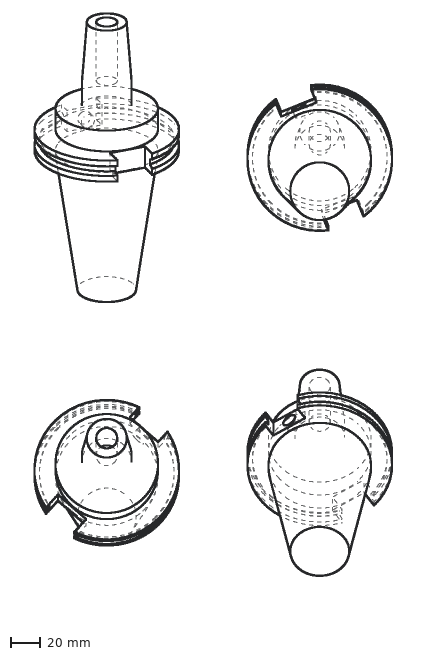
import cadquery as cq

total_height = 201.5
gauge_height = 101.6
flange_bottom = 104.8
flange_thickness = 16.0
boss_top = 136.5
nose_cone_start = 157.2

gauge_radius = 34.9
flange_radius = 49.2
shank_radius = 17.0
nose_tip_radius = 27.2 / 2
root_fillet = 3.0

taper_ratio = 7 / 24
small_end_radius = gauge_radius - gauge_height * taper_ratio / 2

groove_depth = 3.5
groove_floor_width = 3.6
groove_mouth_width = 7.3

slot_width = 25.8
slot_floor_minus_x = 38.0
slot_floor_plus_x = 35.3
dimple_diameter = 9.7
dimple_depth = 6.0

bore_diameter = 14.3
bore_depth = 44.4

flange_top = flange_bottom + flange_thickness
flange_middle = flange_bottom + flange_thickness / 2


def turned_body():
    """Revolve the solid half profile: taper, flange, boss and nose."""
    return (
        cq.Workplane("XZ")
        .moveTo(0, 0)
        .lineTo(small_end_radius, 0)
        .lineTo(gauge_radius, gauge_height)
        .lineTo(gauge_radius, flange_bottom)
        .lineTo(flange_radius, flange_bottom)
        .lineTo(flange_radius, flange_middle - groove_mouth_width / 2)
        .lineTo(flange_radius - groove_depth, flange_middle - groove_floor_width / 2)
        .lineTo(flange_radius - groove_depth, flange_middle + groove_floor_width / 2)
        .lineTo(flange_radius, flange_middle + groove_mouth_width / 2)
        .lineTo(flange_radius, flange_top)
        .lineTo(gauge_radius, flange_top)
        .lineTo(gauge_radius, boss_top)
        .lineTo(shank_radius + root_fillet, boss_top)
        .radiusArc((shank_radius, boss_top + root_fillet), root_fillet)
        .lineTo(shank_radius, nose_cone_start)
        .lineTo(nose_tip_radius, total_height)
        .lineTo(0, total_height)
        .close()
        .revolve(360, (0, 0, 0), (0, 1, 0))
    )


def drive_slot(side, floor_distance):
    """Cutter for one slot; side is +1 or -1 along X, open outwards."""
    length = flange_radius
    return (
        cq.Workplane("XY", origin=(side * (floor_distance + length / 2), 0, flange_bottom))
        .box(length, slot_width, flange_thickness, centered=(True, True, False))
    )


def slot_dimple():
    """Blind radial hole into the floor of the -X slot."""
    return (
        cq.Workplane("YZ", origin=(-slot_floor_minus_x, 0, flange_middle))
        .circle(dimple_diameter / 2)
        .extrude(dimple_depth)
    )


def tool_bore():
    """Blind axial hole from the nose tip."""
    return (
        cq.Workplane("XY", origin=(0, 0, total_height))
        .circle(bore_diameter / 2)
        .extrude(-bore_depth)
    )


result = (
    turned_body()
    .cut(drive_slot(-1, slot_floor_minus_x))
    .cut(drive_slot(1, slot_floor_plus_x))
    .cut(slot_dimple())
    .cut(tool_bore())
)